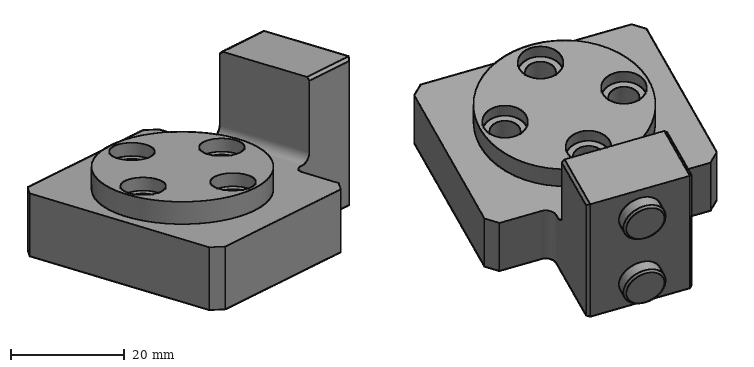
import cadquery as cq

overall_length = 56.0
overall_height = 28.0

base_width = 44.0
base_height = 12.0
base_front_y = -18.05
base_back_y = 19.0
corner_chamfer = 2.0

upright_width = 20.0
upright_thickness = 12.0
upright_chamfer = 0.55
inside_radius = 2.0

boss_diameter = 32.0
boss_height = 4.25
hole_count = 4
hole_circle_radius = 11.25
hole_diameter = 5.5
counterbore_diameter = 8.0
counterbore_depth = 2.5

pin_diameter = 8.0
pin_length = 2.5
pin_chamfer = 0.4
lower_pin_z = 6.0
pin_spacing = 16.0
pin_count = 2

rear_y = base_front_y + overall_length - pin_length
upright_front_y = rear_y - upright_thickness
boss_top_z = base_height + boss_height


def make_base():
    """Plate with chamfered vertical corners."""
    length = base_back_y - base_front_y
    return (
        cq.Workplane("XY")
        .box(base_width, length, base_height, centered=(True, False, False))
        .translate((0, base_front_y, 0))
        .edges("|Z")
        .chamfer(corner_chamfer)
    )


def make_upright():
    """L-shaped block: a tall wall and a low foot that meets the base."""
    return (
        cq.Workplane("YZ", origin=(-upright_width / 2, 0, 0))
        .moveTo(base_back_y, 0)
        .lineTo(rear_y, 0)
        .lineTo(rear_y, overall_height)
        .lineTo(upright_front_y, overall_height)
        .lineTo(upright_front_y, base_height + inside_radius)
        .radiusArc((upright_front_y - inside_radius, base_height), inside_radius)
        .lineTo(base_back_y, base_height)
        .close()
        .extrude(upright_width)
        .edges("(|Z and >Y) or (|Y and >Z and (<X or >X))")
        .chamfer(upright_chamfer)
    )


def make_boss():
    """Round boss standing on the base."""
    return (
        cq.Workplane("XY", origin=(0, 0, base_height))
        .circle(boss_diameter / 2)
        .extrude(boss_height)
    )


def make_housing():
    """Base, upright and boss as one body, with neck fillets and boss holes."""
    body = make_base().union(make_upright())
    half_neck = upright_width / 2
    for x in (-half_neck, half_neck):
        neck_corner = cq.NearestToPointSelector((x, base_back_y, base_height / 2))
        body = body.edges("|Z").edges(neck_corner).fillet(inside_radius)
    return (
        body.union(make_boss())
        .cut(
            cq.Workplane("XY")
            .polarArray(hole_circle_radius, 0, 360, hole_count)
            .circle(hole_diameter / 2)
            .extrude(boss_top_z)
        )
        .cut(
            cq.Workplane("XY", origin=(0, 0, boss_top_z - counterbore_depth))
            .polarArray(hole_circle_radius, 0, 360, hole_count)
            .circle(counterbore_diameter / 2)
            .extrude(counterbore_depth)
        )
    )


def make_pin(z):
    """Short pin seated on the rear face, chamfered at its free end."""
    return (
        cq.Workplane("XZ", origin=(0, rear_y, z))
        .circle(pin_diameter / 2)
        .extrude(-pin_length)
        .faces(">Y")
        .chamfer(pin_chamfer)
    )


housing = make_housing()
pins = [make_pin(lower_pin_z + i * pin_spacing) for i in range(pin_count)]

result = cq.Compound.makeCompound([housing.val(), *[pin.val() for pin in pins]])